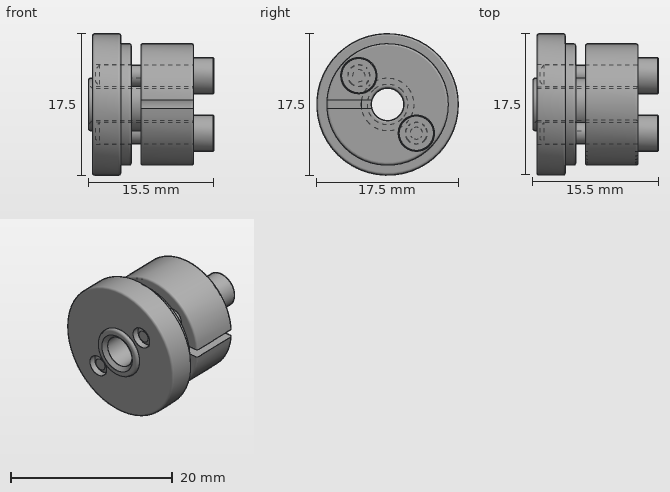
import cadquery as cq

flange_radius = 8.75
flange_thickness = 3.5
shoulder_radius = 7.5
shoulder_length = 1.3
sleeve_radius = 3.25
sleeve_projection = 0.5
gap_width = 1.17
clamp_length = 6.53
clamp_radius = shoulder_radius
bore_radius = 2.0
bore_chamfer = 0.5
edge_fillet = 0.3
slot_width = 1.05

screw_offset = 3.55
thread_radius = 1.31
screw_hole_radius = 1.36
head_radius = 2.24
head_length = 2.5
head_chamfer = 0.12
tip_recess = 0.4
tip_length = 0.44
tip_radius = 0.75

shoulder_end = flange_thickness + shoulder_length
clamp_start = shoulder_end + gap_width
clamp_end = clamp_start + clamp_length
screw_positions = [(-screw_offset, screw_offset), (screw_offset, -screw_offset)]


def cylinder(start, end, radius, y=0, z=0):
    """Cylinder along X between two X positions."""
    return cq.Workplane("YZ", origin=(start, y, z)).circle(radius).extrude(end - start)


def make_hub():
    """Flange and split clamp joined by a bored sleeve."""
    flange = cylinder(0, flange_thickness, flange_radius).edges().fillet(edge_fillet)
    shoulder = cylinder(0, shoulder_end, shoulder_radius).edges(">X").fillet(edge_fillet)
    sleeve = cylinder(-sleeve_projection, clamp_end, sleeve_radius).edges("<X").fillet(edge_fillet)
    clamp = cylinder(clamp_start, clamp_end, clamp_radius).edges().fillet(edge_fillet)
    hub = flange.union(shoulder).union(clamp).union(sleeve)

    bore = cylinder(-sleeve_projection, clamp_end, bore_radius)
    inner_edge = cq.selectors.RadiusNthSelector(0)
    hub = hub.cut(bore)
    hub = hub.faces("<X").edges(inner_edge).chamfer(bore_chamfer)
    hub = hub.faces(">X").edges(inner_edge).fillet(edge_fillet)

    slot = cq.Workplane("XY").box(
        clamp_length, clamp_radius, slot_width, centered=(False, False, True)
    ).translate((clamp_start, -clamp_radius, 0))
    hub = hub.cut(slot)

    for y, z in screw_positions:
        hub = hub.cut(cylinder(0, shoulder_end, screw_hole_radius, y, z))
        hub = hub.cut(cylinder(clamp_start, clamp_end, thread_radius, y, z))
    return hub


def make_screw(y, z):
    """Screw with its head against the clamp and its tip sunk in the flange."""
    tip = (
        cq.Workplane("YZ", origin=(tip_recess, y, z))
        .circle(tip_radius)
        .workplane(offset=tip_length)
        .circle(thread_radius)
        .loft()
    )
    shank = cylinder(tip_recess + tip_length, clamp_end, thread_radius, y, z)
    head_end = clamp_end + head_length
    head = cylinder(clamp_end, head_end, head_radius, y, z).edges(">X").chamfer(head_chamfer)
    return shank.union(tip).union(head)


hub = make_hub()
screws = [make_screw(y, z) for y, z in screw_positions]
result = cq.Compound.makeCompound([hub.val(), *[screw.val() for screw in screws]])